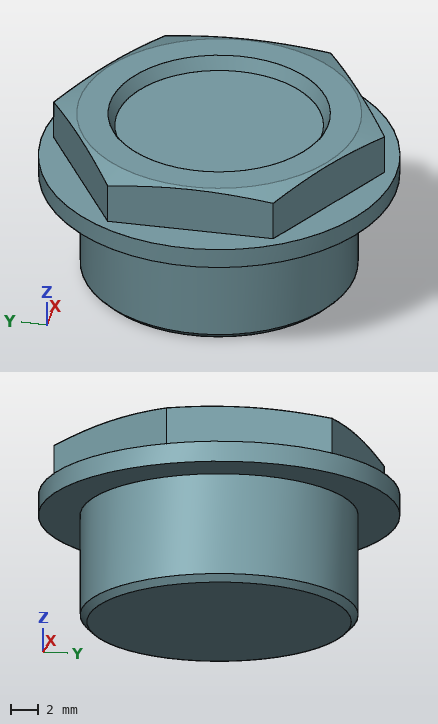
import cadquery as cq
import math

total_height = 13.0
flange_diameter = 26.0
flange_thickness = 1.5
body_diameter = 20.0
body_height = 8.0
body_chamfer = 0.5
hex_across_flats = 21.0
hex_crown_diameter = 20.5
hex_crown_angle = 15.0
recess_top_diameter = 16.0
recess_floor_diameter = 15.0
recess_depth = 1.0

hex_bottom = body_height + flange_thickness
hex_height = total_height - hex_bottom
hex_corner_diameter = hex_across_flats / math.cos(math.radians(30))


def make_body():
    """Round plug body with a chamfered lower edge."""
    body = cq.Workplane("XY").circle(body_diameter / 2).extrude(body_height)
    return body.faces("<Z").edges().chamfer(body_chamfer)


def make_flange():
    """Round collar between the body and the hexagon."""
    return (
        cq.Workplane("XY")
        .workplane(offset=body_height)
        .circle(flange_diameter / 2)
        .extrude(flange_thickness)
    )


def make_hex_head():
    """Hexagon with corners on the Y axis, crowned by a shallow cone."""
    prism = (
        cq.Workplane("XY")
        .workplane(offset=hex_bottom)
        .transformed(rotate=(0, 0, 90))
        .polygon(6, hex_corner_diameter)
        .extrude(hex_height)
    )
    crown_radius = hex_crown_diameter / 2
    outer_radius = flange_diameter / 2
    crown_drop = (outer_radius - crown_radius) * math.tan(math.radians(hex_crown_angle))
    crown = (
        cq.Workplane("XZ")
        .moveTo(0, hex_bottom)
        .lineTo(outer_radius, hex_bottom)
        .lineTo(outer_radius, total_height - crown_drop)
        .lineTo(crown_radius, total_height)
        .lineTo(0, total_height)
        .close()
        .revolve(360, (0, 0, 0), (0, 1, 0))
    )
    return prism.intersect(crown)


def make_recess():
    """Shallow tapered recess in the top of the hexagon."""
    floor = total_height - recess_depth
    return (
        cq.Workplane("XZ")
        .moveTo(0, floor)
        .lineTo(recess_floor_diameter / 2, floor)
        .lineTo(recess_top_diameter / 2, total_height)
        .lineTo(0, total_height)
        .close()
        .revolve(360, (0, 0, 0), (0, 1, 0))
    )


result = make_body().union(make_flange()).union(make_hex_head()).cut(make_recess())